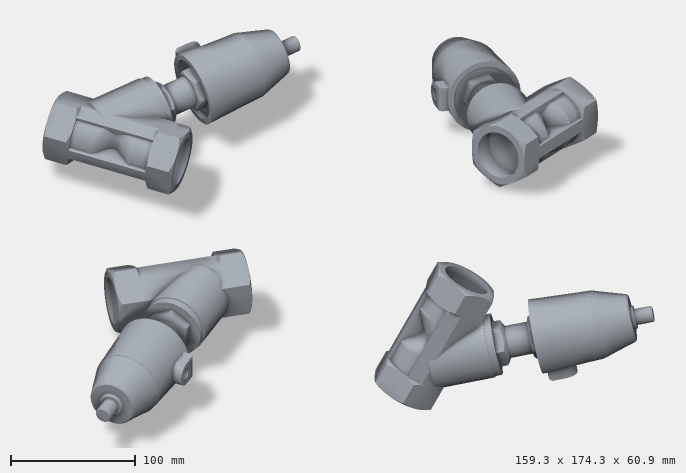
import cadquery as cq
import math

stem_angle = 50.0
stem_start = 32.6

pipe_length = 110.0
end_hex_flats = 50.0
end_hex_length = 22.3
hex_chamfer_angle = 30.0

bore_dia = 38.9
bore_depth = 16.5
drill_angle = 118.0

rib_width = 12.5
web_width = 10.5
rib_shoulder = 12.4
shoulder_drop = 0.2

tube_radius = 22.7
neck_center = 55.8
neck_left_length = 16.5
neck_right_length = 18.5
neck_half_height = 19.2
neck_half_width = 26.2
neck_rise = 7.7
neck_steps = 4

tower_dia = 52.0
tower_start = 6.5
tower_end = 55.8
tower_chamfer = 1.0
tower_fillet = 1.4

collar_dia = 50.0
collar_end = 61.7
bonnet_hex_flats = 32.3
bonnet_hex_end = 71.1
neck_tube_dia = 26.2
lock_hex_flats = 31.4
lock_hex_start = 90.0
lock_hex_round_dia = 35.0
lock_hex_turn = 18.0

housing_start = 94.0
housing_end = 144.7
housing_base_dia = 60.9
housing_top_dia = 55.8
recess_dia = 51.6
recess_depth = 4.2
inner_recess_dia = 41.8
inner_recess_depth = 5.2

cap_end = 173.1
cap_base_radius = 27.5
cap_band = 1.0
cap_top_radius = 19.5
cap_chamfer = 1.2

port_width = 20.0
port_hole_dia = 9.8
port_hole_depth = 8.7
spot_face_dia = 16.0
spot_face_depth = 0.3
port_start = 97.6
port_center = 110.7
port_face = 36.5
port_seat = 27.0
port_chamfer = 2.1

flange_dia = 20.0
flange_height = 2.6
flange_chamfer = 1.0
rod_dia = 13.0
rod_end = 190.2
rod_chamfer = 0.9

flat_distance = end_hex_flats / 2
hex_slope = math.tan(math.radians(30))
hex_corner = flat_distance / math.cos(math.radians(30))
middle = pipe_length / 2

stem_x = math.cos(math.radians(stem_angle))
stem_y = math.sin(math.radians(stem_angle))


def profile_plane():
    """Plane through the stem axis: local x is the radius, local y runs along the stem."""
    return cq.Plane(origin=(stem_start, 0, 0), xDir=(stem_y, -stem_x, 0), normal=(0, 0, 1))


def stem_plane(distance):
    """Plane square to the stem axis at a distance from the pipe axis."""
    origin = (stem_start + distance * stem_x, distance * stem_y, 0)
    return cq.Plane(origin=origin, xDir=(stem_y, -stem_x, 0), normal=(stem_x, stem_y, 0))


def turned(points):
    """Solid turned about the stem axis from (radius, distance) points."""
    return cq.Workplane(profile_plane()).polyline(points).close().revolve(360, (0, 0), (0, 1))


def stem_cylinder(dia, start, end):
    return cq.Workplane(stem_plane(start)).circle(dia / 2).extrude(end - start)


def chamfer_rise(radius, inner_radius):
    """Axial length of a corner chamfer between two radii."""
    return (radius - inner_radius) * math.tan(math.radians(hex_chamfer_angle))


def hex_points(flats, turn=0.0):
    corner = flats / 2 / math.cos(math.radians(30))
    angles = [math.radians(turn + 30 + 60 * i) for i in range(6)]
    return [(corner * math.cos(a), corner * math.sin(a)) for a in angles]


def end_hexagon(start):
    """Pipe end hexagon with corners on +Z and -Z, chamfered at both ends."""
    block = (
        cq.Workplane("YZ", origin=(start, 0, 0))
        .polyline(hex_points(end_hex_flats)).close()
        .extrude(end_hex_length)
    )
    rise = chamfer_rise(hex_corner, flat_distance)
    envelope = (
        cq.Workplane("XY")
        .polyline([
            (start, 0),
            (start, flat_distance),
            (start + rise, hex_corner),
            (start + end_hex_length - rise, hex_corner),
            (start + end_hex_length, flat_distance),
            (start + end_hex_length, 0),
        ])
        .close()
        .revolve(360, (0, 0, 0), (1, 0, 0))
    )
    return block.intersect(envelope)


def ribbed_back():
    """Hexagonal back on +Y whose cut-off corners form the ribs on +Z and -Z."""
    shoulder_z = hex_corner - rib_shoulder * hex_slope
    side = [
        (-rib_width / 2, flat_distance),
        (rib_width / 2, flat_distance),
        (rib_shoulder, shoulder_z - shoulder_drop),
        (rib_shoulder, shoulder_z),
        (flat_distance, hex_corner / 2),
    ]
    mirrored = [(y, -z) for y, z in reversed(side)]
    overlap = chamfer_rise(hex_corner, flat_distance)
    start = end_hex_length - overlap
    return (
        cq.Workplane("YZ", origin=(start, 0, 0))
        .polyline(side + mirrored).close()
        .extrude(pipe_length - 2 * start)
    )


def tube_section(x, slope_length):
    """Ellipse of the flow tube; it flattens and rises along a cosine towards the neck."""
    share = abs(x - neck_center) / slope_length
    blend = (1 + math.cos(math.pi * share)) / 2
    half_height = tube_radius + (neck_half_height - tube_radius) * blend
    half_width = tube_radius + (neck_half_width - tube_radius) * blend
    center = cq.Vector(x, neck_rise * blend, 0)
    along_pipe = cq.Vector(1, 0, 0)
    return cq.Wire.makeEllipse(half_height, half_width, center, along_pipe, cq.Vector(0, 1, 0))


def straight_tube(start, end):
    return cq.Workplane("YZ", origin=(start, 0, 0)).circle(tube_radius).extrude(end - start)


def flow_tube():
    """Outside of the tube below the pipe axis, straight at both ends and necked between."""
    neck_start = neck_center - neck_left_length
    neck_end = neck_center + neck_right_length
    sections = []
    for i in range(-neck_steps, neck_steps + 1):
        slope_length = neck_left_length if i < 0 else neck_right_length
        sections.append(tube_section(neck_center + i * slope_length / neck_steps, slope_length))
    neck = cq.Workplane(cq.Solid.makeLoft(sections))
    lower_half = cq.Workplane("XY").box(
        pipe_length, flat_distance, end_hex_flats, centered=(False, False, True)
    ).translate((0, -flat_distance, 0))
    return (
        neck.intersect(lower_half)
        .union(straight_tube(end_hex_length / 2, neck_start))
        .union(straight_tube(neck_end, pipe_length - end_hex_length / 2))
    )


def web():
    length = pipe_length - end_hex_length
    return cq.Workplane("XY").box(
        length, flat_distance, web_width, centered=(True, False, True)
    ).translate((middle, -flat_distance, 0))


def tower():
    return stem_cylinder(tower_dia, tower_start, tower_end).faces("<Y").edges().chamfer(tower_chamfer)


def back_with_tower():
    """Back and tower, rounded where the right flank of the tower meets the sloping faces."""
    joined = ribbed_back().union(tower())
    for side in (-1, 1):
        z_limits = sorted((side * hex_corner / 2, side * flat_distance))
        seam = cq.selectors.BoxSelector(
            (stem_start, rib_shoulder + shoulder_drop, z_limits[0]),
            (pipe_length, flat_distance, z_limits[1]),
        )
        joined = joined.edges("%ELLIPSE").edges(seam).fillet(tower_fillet)
    return joined


def bore():
    radius = bore_dia / 2
    point = bore_depth + radius / math.tan(math.radians(drill_angle / 2))
    return (
        cq.Workplane("XY")
        .polyline([(0, 0), (0, radius), (bore_depth, radius), (point, 0)])
        .close()
        .revolve(360, (0, 0, 0), (1, 0, 0))
    )


def make_valve_body():
    left_bore = bore()
    right_bore = left_bore.mirror("YZ").translate((pipe_length, 0, 0))
    return (
        back_with_tower()
        .union(flow_tube())
        .union(web())
        .union(end_hexagon(0))
        .union(end_hexagon(pipe_length - end_hex_length))
        .cut(left_bore)
        .cut(right_bore)
    )


def bonnet_hexagon():
    corner = bonnet_hex_flats / 2 / math.cos(math.radians(30))
    top_radius = neck_tube_dia / 2
    edge = bonnet_hex_end - chamfer_rise(corner, top_radius)
    block = (
        cq.Workplane(stem_plane(collar_end))
        .polyline(hex_points(bonnet_hex_flats)).close()
        .extrude(bonnet_hex_end - collar_end)
    )
    envelope = turned([
        (0, collar_end), (corner, collar_end), (corner, edge),
        (top_radius, bonnet_hex_end), (0, bonnet_hex_end),
    ])
    return block.intersect(envelope)


def lock_hexagon():
    end = housing_start + inner_recess_depth
    corner = lock_hex_round_dia / 2
    face_radius = lock_hex_flats / 2
    edge = lock_hex_start + chamfer_rise(corner, face_radius)
    block = (
        cq.Workplane(stem_plane(lock_hex_start))
        .polyline(hex_points(lock_hex_flats, lock_hex_turn)).close()
        .extrude(end - lock_hex_start)
    )
    envelope = turned([
        (0, lock_hex_start), (face_radius, lock_hex_start), (corner, edge), (corner, end), (0, end),
    ])
    return block.intersect(envelope)


def make_bonnet():
    return (
        stem_cylinder(collar_dia, tower_end, collar_end)
        .union(bonnet_hexagon())
        .union(stem_cylinder(neck_tube_dia, collar_end, housing_start + inner_recess_depth))
        .union(lock_hexagon())
    )


def port_block():
    """Tongue on the upper side of the housing, its end rounded away from the valve body."""
    plane = cq.Plane(
        origin=(
            stem_start + port_center * stem_x - port_seat * stem_y,
            port_center * stem_y + port_seat * stem_x,
            0,
        ),
        xDir=(stem_x, stem_y, 0),
        normal=(-stem_y, stem_x, 0),
    )
    half = port_width / 2
    height = port_face - port_seat
    tail = port_start - port_center
    tongue = (
        cq.Workplane(plane)
        .moveTo(tail, -half).lineTo(0, -half)
        .threePointArc((half, 0), (0, half))
        .lineTo(tail, half).close()
        .extrude(height)
    )
    bevel = (
        cq.Workplane(profile_plane())
        .polyline([
            (-port_face, port_start),
            (-port_face, port_start + port_chamfer),
            (-port_face + port_chamfer, port_start),
        ])
        .close()
        .extrude(half, both=True)
    )
    face = cq.Workplane(plane).workplane(offset=height)
    spot_face = face.circle(spot_face_dia / 2).extrude(-spot_face_depth)
    hole = face.circle(port_hole_dia / 2).extrude(-port_hole_depth)
    return tongue.cut(bevel), hole.union(spot_face)


def make_housing(block):
    recess_floor = housing_start + recess_depth
    inner_floor = housing_start + inner_recess_depth
    shell = turned([
        (0, inner_floor),
        (inner_recess_dia / 2, inner_floor),
        (inner_recess_dia / 2, recess_floor),
        (recess_dia / 2, recess_floor),
        (recess_dia / 2, housing_start),
        (housing_base_dia / 2, housing_start),
        (housing_top_dia / 2, housing_end),
        (0, housing_end),
    ])
    return shell.cut(block)


def make_cap():
    return turned([
        (0, housing_end),
        (cap_base_radius, housing_end),
        (cap_base_radius, housing_end + cap_band),
        (cap_top_radius, cap_end - cap_chamfer),
        (cap_top_radius - cap_chamfer, cap_end),
        (0, cap_end),
    ])


def make_indicator():
    flange_top = cap_end + flange_height
    return turned([
        (0, cap_end),
        (flange_dia / 2, cap_end),
        (flange_dia / 2, flange_top - flange_chamfer),
        (flange_dia / 2 - flange_chamfer, flange_top),
        (rod_dia / 2, flange_top),
        (rod_dia / 2, rod_end - rod_chamfer),
        (rod_dia / 2 - rod_chamfer, rod_end),
        (0, rod_end),
    ])


valve_body = make_valve_body()
bonnet = make_bonnet()
block, port_hole = port_block()
housing = make_housing(block)
port = block.cut(port_hole)
cap = make_cap()
indicator = make_indicator()

result = cq.Compound.makeCompound([
    valve_body.val(), bonnet.val(), housing.val(), port.val(), cap.val(), indicator.val(),
])